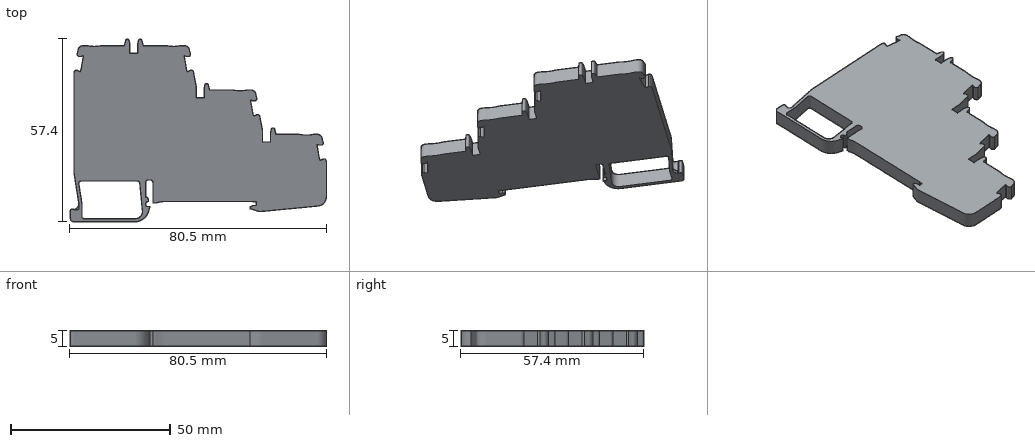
import cadquery as cq
LENGTH = 80.5
THICKNESS = 5.0

TIER_COUNT = 3
TIER_PITCH = 20.85
TIER_DROP = 13.9
TIER_HALF_WIDTH = 18.85
TOP_DECK = 55.4
FIRST_SLOT_X = LENGTH - TIER_HALF_WIDTH - (TIER_COUNT - 1) * TIER_PITCH
LEFT_WALL_X = FIRST_SLOT_X - TIER_HALF_WIDTH
TIER_FLOOR = 16.1

SLOT_HALF_WIDTH = 1.2
SLOT_DEPTH = 2.4
PRONG_HEIGHT = 2.0
PRONG_TIP_START = 1.6
DIP_DEPTH = 0.25
LIP_UNDERSIDE = -3.2
SHOULDER = -7.7
WALL_TOP = -8.8
FLANK_BOTTOM = -12.8

LEG_TOP_Y = 15.55
LEG_BOTTOM_X = 2.7
LEG_BOTTOM_Y = 5.2
LEG_LEAN = (LEG_BOTTOM_X - LEFT_WALL_X) / (LEG_TOP_Y - LEG_BOTTOM_Y)
FOOT_TOP = 4.0
WEB_HEIGHT = 1.05
WEB_TOP_Y = 5.9
WEB_LEFT_X = 1.5
WEB_ROOT_X = 3.1
WEB_ROOT_Y = 3.7

WINDOW_TOP = 12.8
WINDOW_BOTTOM = 1.05
WINDOW_LEFT = 3.7
WINDOW_KNEE_Y = 5.8
WINDOW_TOP_LEFT = WINDOW_LEFT - LEG_LEAN * (WINDOW_TOP - WINDOW_KNEE_Y)
WINDOW_TOP_RIGHT = 21.75
WINDOW_RIGHT = 22.9
WINDOW_TOP_FILLET = 0.7
WINDOW_FOOT_FILLET = 0.6
WINDOW_LATCH_FILLET = 2.2

RELIEF_LEFT = 23.75
RELIEF_RIGHT = 25.9
RELIEF_TOP = 13.1
RELIEF_FILLET = 0.7

RAIL_FACE = 6.4
RAIL_STEP = 5.9
HOOK_TIP_X = 56.5
HOOK_THROAT_X = 58.4
HOOK_TOP = 5.15


def plate(start, steps, height=THICKNESS):
    """Extrude a closed outline; a step of one point is a line, of two points an arc."""
    outline = cq.Workplane("XY").moveTo(*start)
    for step in steps:
        if len(step) == 1:
            outline = outline.lineTo(*step[0])
        else:
            outline = outline.threePointArc(*step)
    return outline.close().extrude(height)


def fillet_corner(solid, x, y, radius):
    """Round the upright edge that stands at the given corner."""
    reach = 0.1
    corner = cq.selectors.BoxSelector((x - reach, y - reach, 0), (x + reach, y + reach, THICKNESS))
    return solid.edges("|Z").edges(corner).fillet(radius)


def half_tier(floor):
    """Right half of a tier: slot centre at X = 0, deck at Y = 0, reaching down to the floor."""
    steps = [
        [(SLOT_HALF_WIDTH, -SLOT_DEPTH)],
        [(SLOT_HALF_WIDTH, 0.5)],
        [(1.45, PRONG_TIP_START)],
        [(2.0, PRONG_HEIGHT), (2.6, PRONG_TIP_START)],
        [(3.0, 0)],
        [(10.15, 0)],
        [(12.5, -DIP_DEPTH), (14.8, 0)],
        [(16.1, 0)],
        [(17.1, -0.5), (17.55, -1.7)],
        [(17.9, -2.7)],
        [(17.7, -3.15), (17.2, -3.5)],
        [(16.5, -3.5)],
        [(15.9, LIP_UNDERSIDE)],
        [(16.6, -7.5)],
        [(16.8, -8.2)],
        [(17.4, -8.0)],
        [(17.9, SHOULDER)],
        [(18.35, SHOULDER)],
        [(18.7, -8.1), (TIER_HALF_WIDTH, WALL_TOP)],
        [(TIER_HALF_WIDTH, floor)],
        [(-SLOT_HALF_WIDTH, floor)],
    ]
    return plate((-SLOT_HALF_WIDTH, -SLOT_DEPTH), steps)


def flank(floor):
    """Sloping wall from a tier's shoulder down to the slot of the next tier."""
    next_slot_wall = TIER_PITCH - SLOT_HALF_WIDTH
    steps = [
        [(next_slot_wall, FLANK_BOTTOM)],
        [(next_slot_wall, floor)],
        [(0, floor)],
        [(0, WALL_TOP)],
    ]
    return plate((TIER_HALF_WIDTH, WALL_TOP), steps)


def base():
    """Lower part of the plate: leg, foot, latch, relief slot, rail face and hook."""
    steps = [
        [(LEFT_WALL_X, LEG_TOP_Y)],
        [(LEG_BOTTOM_X, LEG_BOTTOM_Y)],
        [(2.8, 4.4)],
        [(2.6, 3.95), (1.9, 3.8)],
        [(1.3, 3.9)],
        [(1.0, FOOT_TOP)],
        [(0.6, FOOT_TOP)],
        [(0.2, 3.9), (0, 3.5)],
        [(0, 1.05)],
        [(0.3, 0.3), (1.05, 0)],
        [(20.7, 0)],
        [(23.4, 1.3), (24.8, 3.95)],
        [(25.1, 4.8)],
        [(24.1, 4.8)],
        [(RELIEF_LEFT, 5.6), (24.1, 6.3)],
        [(24.6, 6.4)],
        [(24.55, 7.1), (24.15, 7.7)],
        [(RELIEF_LEFT, 7.8)],
        [(RELIEF_LEFT, RELIEF_TOP)],
        [(RELIEF_RIGHT, RELIEF_TOP)],
        [(RELIEF_RIGHT, RAIL_STEP)],
        [(26.9, RAIL_STEP)],
        [(28.1, 6.2), (29.3, RAIL_FACE)],
        [(57.3, RAIL_FACE)],
        [(57.8, 6.2)],
        [(HOOK_THROAT_X, RAIL_FACE)],
        [(HOOK_THROAT_X, HOOK_TOP)],
        [(57.3, HOOK_TOP)],
        [(HOOK_TIP_X, 4.75)],
        [(HOOK_TIP_X, 4.1)],
        [(59.0, 3.3)],
        [(59.5, 3.2), (60.0, 3.2)],
        [(77.55, 4.9)],
        [(79.6, 5.8), (LENGTH, 7.9)],
        [(LENGTH, TIER_FLOOR)],
    ]
    body = plate((LEFT_WALL_X, TIER_FLOOR), steps)
    for x in (RELIEF_LEFT, RELIEF_RIGHT):
        body = fillet_corner(body, x, RELIEF_TOP, RELIEF_FILLET)
    return body


def window():
    """Through opening with a leaning left side and rounded corners."""
    top_left = (WINDOW_TOP_LEFT, WINDOW_TOP)
    top_right = (WINDOW_TOP_RIGHT, WINDOW_TOP)
    bottom_right = (WINDOW_RIGHT, WINDOW_BOTTOM)
    bottom_left = (WINDOW_LEFT, WINDOW_BOTTOM)
    knee = (WINDOW_LEFT, WINDOW_KNEE_Y)
    opening = plate(bottom_left, [[knee], [top_left], [top_right], [bottom_right]])
    opening = fillet_corner(opening, *top_left, WINDOW_TOP_FILLET)
    opening = fillet_corner(opening, *top_right, WINDOW_TOP_FILLET)
    opening = fillet_corner(opening, *bottom_right, WINDOW_LATCH_FILLET)
    return fillet_corner(opening, *bottom_left, WINDOW_FOOT_FILLET)


def foot_web():
    """Low concave web filling the notch above the foot, at the bottom face only."""
    wall_x = LEG_BOTTOM_X - LEG_LEAN * (WEB_TOP_Y - LEG_BOTTOM_Y)
    steps = [
        [(2.3, 4.6), (WEB_LEFT_X, FOOT_TOP)],
        [(WEB_LEFT_X, WEB_ROOT_Y)],
        [(WEB_ROOT_X, WEB_ROOT_Y)],
        [(WEB_ROOT_X, WEB_TOP_Y)],
    ]
    return plate((wall_x, WEB_TOP_Y), steps, WEB_HEIGHT)


result = base().cut(window()).union(foot_web())
for index in range(TIER_COUNT):
    deck = TOP_DECK - index * TIER_DROP
    place = (FIRST_SLOT_X + index * TIER_PITCH, deck, 0)
    tier = half_tier(TIER_FLOOR - deck)
    if index == 0:
        tier = tier.union(tier.mirror("YZ"))
    if index < TIER_COUNT - 1:
        tier = tier.union(flank(TIER_FLOOR - deck))
    result = result.union(tier.translate(place))